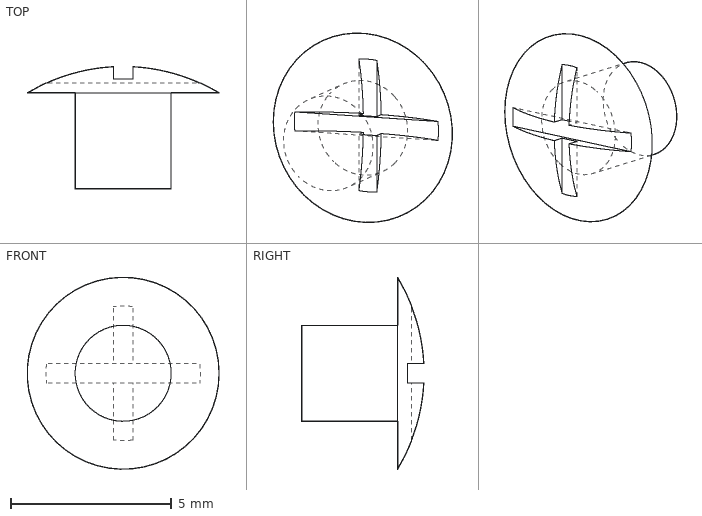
import cadquery as cq
import math

head_diameter = 6.0
head_height = 0.835
shank_diameter = 3.0
shank_length = 3.0

slot_width = 0.6
slot_x_floor = 0.31
slot_z_floor = 0.44

head_radius = head_diameter / 2
dome_radius = (head_radius**2 + head_height**2) / (2 * head_height)


def make_shank():
    """Plain cylinder from the head underside toward -Y."""
    return cq.Workplane("XZ").circle(shank_diameter / 2).extrude(shank_length)


def make_head():
    """Spherical cap, revolved about Y."""
    middle_x = head_radius / 2
    middle_y = head_height - dome_radius + math.sqrt(dome_radius**2 - middle_x**2)
    return (
        cq.Workplane("XY")
        .moveTo(0, 0)
        .lineTo(head_radius, 0)
        .threePointArc((middle_x, middle_y), (0, head_height))
        .close()
        .revolve(360, (0, 0, 0), (0, 1, 0))
    )


def make_slot(size_x, size_z, floor):
    """Straight cutter from the slot floor to well above the dome."""
    return (
        cq.Workplane("XY")
        .box(size_x, head_height, size_z, centered=(True, False, True))
        .translate((0, floor, 0))
    )


slot_along_x = make_slot(head_diameter, slot_width, slot_x_floor)
slot_along_z = make_slot(slot_width, head_diameter, slot_z_floor)

result = make_shank().union(make_head()).cut(slot_along_x).cut(slot_along_z)